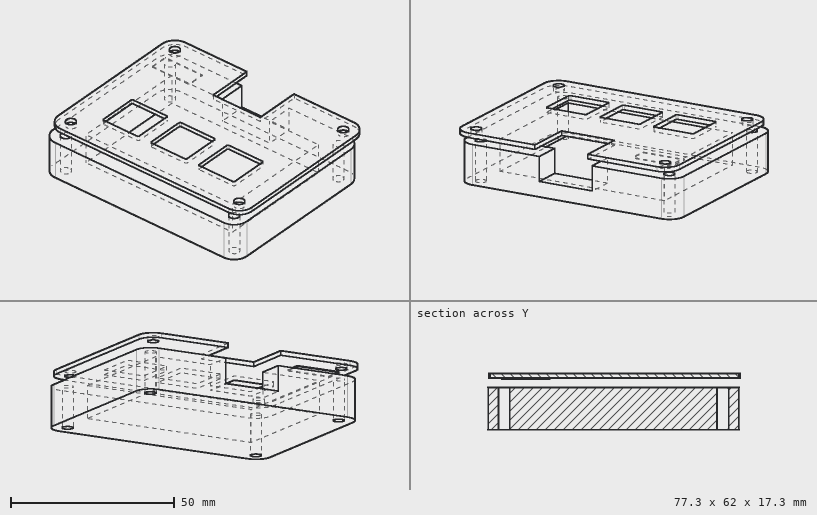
import cadquery as cq

overall_x, overall_y, overall_z = 77.3, 62.05, 17.3
body_x = 77.0
body_y = 60.0
corner_radius = 5.0
screw_hole_diameter = 3.4
screw_inset = corner_radius

notch_left = 29.5
notch_width = 18.7

case_height = 13.05
case_wall = 9.35
case_floor = 2.6
case_notch_bottom = 5.0
cavity_x = body_x - 2 * case_wall
cavity_y = body_y - 2 * case_wall

plate_thickness = 1.5
plate_bottom = overall_z - plate_thickness
plate_shift_x = overall_x - body_x
plate_shift_y = overall_y - body_y
plate_notch_depth = 16.2

window_size = 14.15
window_radius = 0.5
window_pitch = 19.0
window_count = 3
first_window_x = 19.0
window_y = 19.0

pad_left = 3.95
pad_x = 14.7
pad_y = 6.25
pad_back_inset = 8.4
pad_thickness = 0.2


def box_at(x, y, z, size_x, size_y, size_z):
    """Box with its lowest corner at (x, y, z)."""
    return cq.Workplane("XY").box(size_x, size_y, size_z, centered=False).translate((x, y, z))


def rounded_slab(height):
    """Footprint slab with rounded corners and four through screw holes."""
    slab = box_at(0, 0, 0, body_x, body_y, height).edges("|Z").fillet(corner_radius)
    holes = (
        cq.Workplane("XY")
        .center(body_x / 2, body_y / 2)
        .rect(body_x - 2 * screw_inset, body_y - 2 * screw_inset, forConstruction=True)
        .vertices()
        .circle(screw_hole_diameter / 2)
        .extrude(height)
    )
    return slab.cut(holes)


def back_notch(depth, bottom, top):
    """Cutter that opens the back edge to the given depth."""
    return box_at(notch_left, body_y - depth, bottom, notch_width, depth, top - bottom)


def make_case():
    cavity = box_at(case_wall, case_wall, case_floor, cavity_x, cavity_y, case_height - case_floor)
    notch = back_notch(case_wall, case_notch_bottom, case_height)
    return rounded_slab(case_height).cut(cavity).cut(notch)


def key_window(index):
    """Cutter for one key window, counted from the left."""
    center_x = first_window_x + index * window_pitch
    window = box_at(
        center_x - window_size / 2, window_y - window_size / 2, 0, window_size, window_size, plate_thickness
    )
    return window.edges("|Z").fillet(window_radius)


def make_plate():
    plate = rounded_slab(plate_thickness).cut(back_notch(plate_notch_depth, 0, plate_thickness))
    for index in range(window_count):
        plate = plate.cut(key_window(index))
    pad_front = body_y - pad_back_inset - pad_y
    pad = box_at(pad_left, pad_front, -pad_thickness, pad_x, pad_y, pad_thickness)
    return plate.union(pad).translate((plate_shift_x, plate_shift_y, plate_bottom))


case = make_case()
cover_plate = make_plate()

result = cq.Compound.makeCompound([case.val(), cover_plate.val()])